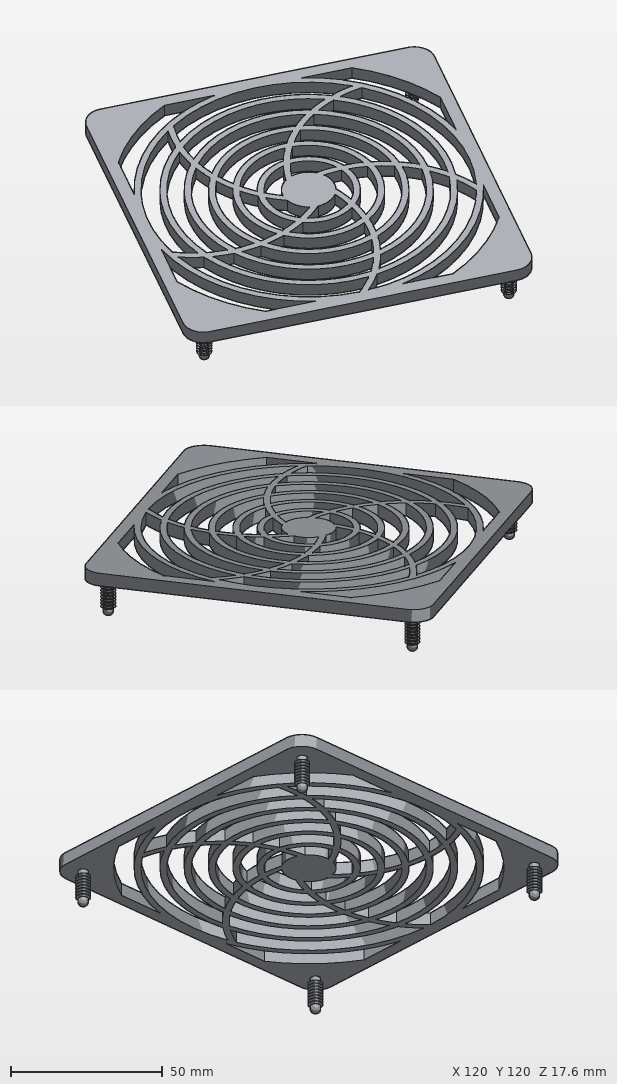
import cadquery as cq
import math

frame_size = 120.0
frame_thickness = 4.5
frame_corner_radius = 7.0
window_size = 111.0
window_corner_circle_radius = 64.2

hub_radius = 9.0
bar_width = 2.3
first_ring_outer_radius = 17.0
ring_pitch = 8.0
inner_ring_count = 5
rim_outer_radius = 57.5
rim_mean_radius = rim_outer_radius - bar_width / 2
ring_outer_radii = [first_ring_outer_radius + i * ring_pitch for i in range(inner_ring_count)]
ring_outer_radii.append(rim_outer_radius)

spoke_count = 5
spoke_arc_radius = 44.3
spoke_centre_distance = 39.6
spoke_centre_direction = -50.8
spoke_root_radius = 7.0

pin_spacing = 105.0
pin_head_radius = 3.0
pin_length = 13.1
shank_radius = 1.75
barb_radius = 2.5
barb_count = 8
barb_pitch = 1.125
barb_height = 0.6
first_barb_depth = 1.95


def disc(radius):
    """Solid disc on the hub axis, as thick as the frame."""
    return cq.Workplane("XY").circle(radius).extrude(frame_thickness)


def make_frame():
    plate = cq.Workplane("XY").rect(frame_size, frame_size).extrude(frame_thickness)
    plate = plate.edges("|Z").fillet(frame_corner_radius)
    window = cq.Workplane("XY").rect(window_size, window_size).extrude(frame_thickness)
    return plate.cut(window.intersect(disc(window_corner_circle_radius)))


def make_ring(outer_radius):
    return disc(outer_radius).cut(disc(outer_radius - bar_width))


def spoke_point(arc_radius, hub_distance):
    """Point at hub_distance from the hub axis on an arc about the first spoke's centre."""
    cosine = (hub_distance**2 + spoke_centre_distance**2 - arc_radius**2) / (
        2 * hub_distance * spoke_centre_distance
    )
    angle = math.radians(spoke_centre_direction) + math.acos(cosine)
    return (hub_distance * math.cos(angle), hub_distance * math.sin(angle))


def make_spoke():
    inner_arc = spoke_arc_radius - bar_width / 2
    outer_arc = spoke_arc_radius + bar_width / 2
    middle_radius = (spoke_root_radius + rim_mean_radius) / 2
    return (
        cq.Workplane("XY")
        .moveTo(*spoke_point(inner_arc, spoke_root_radius))
        .threePointArc(spoke_point(inner_arc, middle_radius), spoke_point(inner_arc, rim_mean_radius))
        .lineTo(*spoke_point(outer_arc, rim_mean_radius))
        .threePointArc(spoke_point(outer_arc, middle_radius), spoke_point(outer_arc, spoke_root_radius))
        .close()
        .extrude(frame_thickness)
    )


def make_pin():
    """Flush head through the frame, shank with flat-topped conical barbs, and a round tip."""
    tip_start = shank_radius - pin_length
    tip_middle = shank_radius * math.sqrt(0.5)
    profile = (
        cq.Workplane("XZ")
        .moveTo(0, frame_thickness)
        .lineTo(pin_head_radius, frame_thickness)
        .lineTo(pin_head_radius, 0)
        .lineTo(shank_radius, 0)
    )
    for i in range(barb_count):
        barb_top = -first_barb_depth - i * barb_pitch
        profile = (
            profile.lineTo(shank_radius, barb_top)
            .lineTo(barb_radius, barb_top)
            .lineTo(shank_radius, barb_top - barb_height)
        )
    profile = (
        profile.lineTo(shank_radius, tip_start)
        .threePointArc((tip_middle, tip_start - tip_middle), (0, -pin_length))
        .close()
    )
    return profile.revolve(360, (0, 0, 0), (0, 1, 0))


def make_guard():
    guard = make_frame().union(disc(hub_radius))
    for outer_radius in ring_outer_radii:
        guard = guard.union(make_ring(outer_radius))
    spoke = make_spoke()
    for i in range(spoke_count):
        guard = guard.union(spoke.rotate((0, 0, 0), (0, 0, 1), i * 360 / spoke_count))
    return guard.clean()


def add_pins(guard):
    half_spacing = pin_spacing / 2
    pin = make_pin()
    for x in (-half_spacing, half_spacing):
        for y in (-half_spacing, half_spacing):
            guard = guard.cut(disc(pin_head_radius).translate((x, y, 0)), clean=False)
            guard = guard.union(pin.translate((x, y, 0)), clean=False)
    return guard


result = add_pins(make_guard())